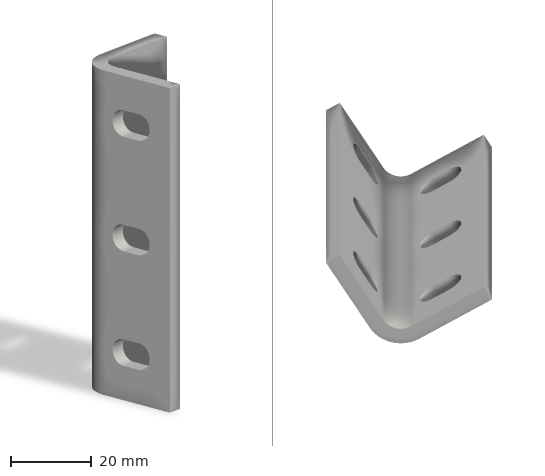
import cadquery as cq

height = 85.0
leg_length = 30.0
thickness = 4.0
inner_bend_radius = 5.0
outer_bend_radius = inner_bend_radius + thickness

slot_length = 12.0
slot_width = 7.0
slot_offset = 17.5
slot_pitch = 30.0
slot_heights = [height / 2 + row * slot_pitch for row in (-1, 0, 1)]


def bent_angle():
    """Equal-leg angle with its outer corner on the Z axis and a rounded bend."""
    outer = cq.Workplane("XY").rect(leg_length, leg_length, centered=False).extrude(height)
    outer = outer.edges("|Z and (<X and <Y)").fillet(outer_bend_radius)
    inner = (
        cq.Workplane("XY")
        .moveTo(thickness, thickness)
        .rect(leg_length, leg_length, centered=False)
        .extrude(height)
    )
    inner = inner.edges("|Z and (<X and <Y)").fillet(inner_bend_radius)
    return outer.cut(inner)


def leg_slots(plane, depth):
    """Row of slot cutters standing on the given plane, long side across the leg."""
    centres = [(slot_offset, z) for z in slot_heights]
    return cq.Workplane(plane).pushPoints(centres).slot2D(slot_length, slot_width).extrude(depth)


result = (
    bent_angle()
    .cut(leg_slots("XZ", -thickness))
    .cut(leg_slots("YZ", thickness))
)